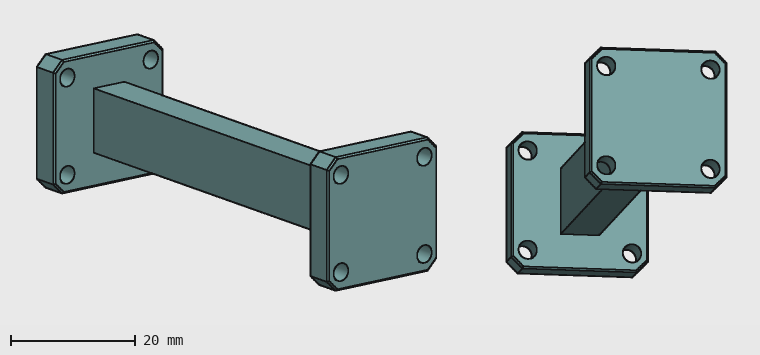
import cadquery as cq

length = 76.2

flange_side = 22.3
flange_thickness = 4.9
corner_chamfer = 1.8
rim_chamfer = 0.3

hole_diameter = 3.0
hole_spacing_y = 17.0
hole_spacing_z = 16.2

bar_width_y = 6.25
bar_height_z = 10.75


def make_flange(start_x):
    """Flange with cut corners, bevelled rims and four through holes."""
    body = (
        cq.Workplane("YZ", origin=(start_x, 0, 0))
        .rect(flange_side, flange_side)
        .extrude(flange_thickness)
        .edges("|X")
        .chamfer(corner_chamfer)
        .faces("<X or >X")
        .chamfer(rim_chamfer)
    )
    holes = (
        cq.Workplane("YZ", origin=(start_x, 0, 0))
        .rect(hole_spacing_y, hole_spacing_z, forConstruction=True)
        .vertices()
        .circle(hole_diameter / 2)
        .extrude(flange_thickness)
    )
    return body.cut(holes)


bar_length = length - 2 * flange_thickness
result = cq.Workplane("XY").box(bar_length, bar_width_y, bar_height_z)
for flange_start in (-length / 2, length / 2 - flange_thickness):
    result = result.union(make_flange(flange_start))